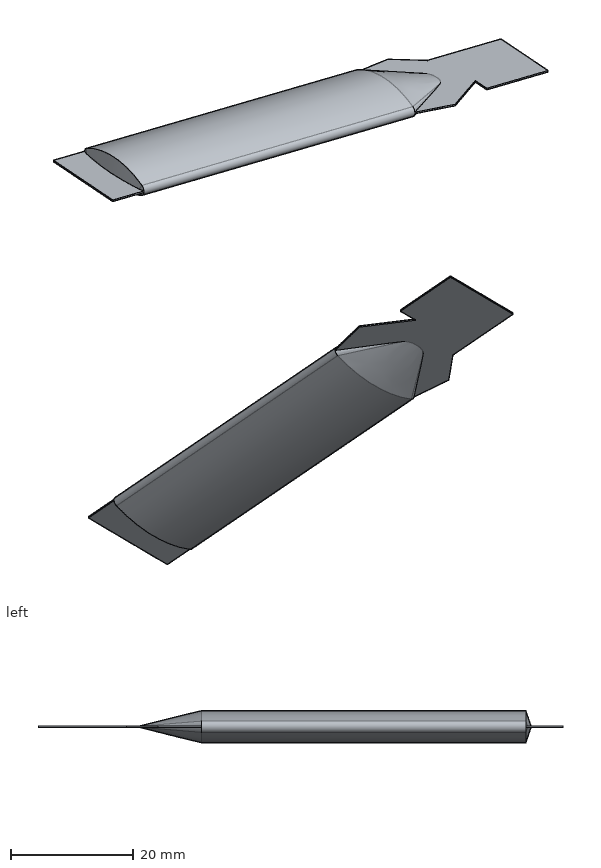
import cadquery as cq
import math


BODY_LENGTH = 53.0
BODY_WIDTH = 17.64
BODY_HEIGHT = 5.32
EDGE_RADIUS = 1.0

NOSE_LENGTH = 10.1
NOSE_TIP_WIDTH = 3.6
NOSE_TIP_HEIGHT = 0.28
NOSE_TIP_EDGE_RADIUS = 0.08

CAP_DEPTH = 0.9
CAP_FRACTION = 0.995

BLADE_THICKNESS = 0.3
TOTAL_LENGTH = 85.77
TAB_LENGTH = 6.1
SHOULDER_WIDTH = 20.0
SHOULDER_Y = BODY_LENGTH + 7.1
HEAD_WIDTH = 14.0
HEAD_RIGHT_X = 7.9
HEAD_LENGTH = 12.0
NOTCH_X = 4.5
NECK_LEFT_DROP = 2.4


def lens_outline(plane_y, width, height, edge_radius):
    """Lens section on a plane of constant Y: two crown arcs joined by two tangent edge arcs."""
    half_width = width / 2
    half_height = height / 2
    edge_center_x = half_width - edge_radius
    half_angle = math.atan2(half_height - edge_radius, edge_center_x)
    corner_x = edge_center_x + edge_radius * math.sin(2 * half_angle)
    corner_z = edge_radius * math.cos(2 * half_angle)
    return (
        cq.Workplane("XZ", origin=(0, plane_y, 0))
        .moveTo(-corner_x, corner_z)
        .threePointArc((0, half_height), (corner_x, corner_z))
        .threePointArc((half_width, 0), (corner_x, -corner_z))
        .threePointArc((0, -half_height), (-corner_x, -corner_z))
        .threePointArc((-half_width, 0), (-corner_x, corner_z))
        .close()
    )


def body_outline(plane_y):
    return lens_outline(plane_y, BODY_WIDTH, BODY_HEIGHT, EDGE_RADIUS)


def make_body():
    """Straight body of constant section."""
    return body_outline(BODY_LENGTH).extrude(BODY_LENGTH)


def make_cap():
    """Roof over the rear end of the body that falls away at the same angle from every side."""
    draft = math.degrees(math.atan2(BODY_HEIGHT / 2, CAP_DEPTH))
    return body_outline(0).extrude(CAP_DEPTH * CAP_FRACTION, taper=draft)


def make_nose():
    """Straight-sided taper from the front of the body to a small lens-shaped tip."""
    base = body_outline(BODY_LENGTH).val()
    tip_y = BODY_LENGTH + NOSE_LENGTH
    tip = lens_outline(tip_y, NOSE_TIP_WIDTH, NOSE_TIP_HEIGHT, NOSE_TIP_EDGE_RADIUS).val()
    return cq.Workplane(cq.Solid.makeLoft([base, tip], True))


def make_blade():
    """Flat sheet: rear tab, shoulders, and an offset rectangular head notched on the right."""
    half_body = BODY_WIDTH / 2
    half_core = half_body - EDGE_RADIUS
    half_shoulder = SHOULDER_WIDTH / 2
    rear_y = -TAB_LENGTH
    front_y = rear_y + TOTAL_LENGTH
    head_rear_y = front_y - HEAD_LENGTH
    head_left_x = HEAD_RIGHT_X - HEAD_WIDTH
    outline = [
        (-half_body, rear_y),
        (half_body, rear_y),
        (half_body, 0),
        (half_core, 0),
        (half_core, BODY_LENGTH),
        (half_body, BODY_LENGTH),
        (half_shoulder, SHOULDER_Y),
        (NOTCH_X, head_rear_y),
        (HEAD_RIGHT_X, head_rear_y),
        (HEAD_RIGHT_X, front_y),
        (head_left_x, front_y),
        (head_left_x, head_rear_y - NECK_LEFT_DROP),
        (-half_shoulder, SHOULDER_Y),
        (-half_body, BODY_LENGTH),
        (-half_core, BODY_LENGTH),
        (-half_core, 0),
        (-half_body, 0),
    ]
    return (
        cq.Workplane("XY")
        .polyline(outline)
        .close()
        .extrude(BLADE_THICKNESS / 2, both=True)
    )


result = make_body().union(make_cap()).union(make_nose()).union(make_blade())